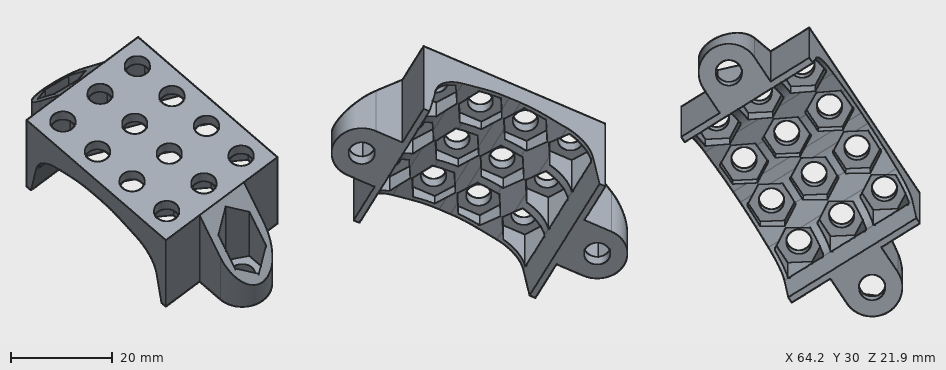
import cadquery as cq
import math

hole_pitch = 10.0
columns = 4
rows = 3
block_length = 40.35
block_depth = rows * hole_pitch
height = 21.9
bolt_hole_diameter = 5.0

nut_across_flats = 8.35
nut_circumdiameter = nut_across_flats / math.cos(math.radians(30))
nut_seat_thickness = 2.7
grid_nut_floor = 8.0

overall_length = 64.15
ear_radius = 5.95
ear_tip_height = 6.15
ear_hole_diameter = 5.2
ear_center = overall_length / 2 - ear_radius

arch_foot = 18.85
arch_shoulder = (16.55, 13.3)
arch_crown = (4.2, 16.55)
shoulder_radius = 8.0
crown_radius = 22.45


def make_block():
    return cq.Workplane("XY").box(block_length, block_depth, height, centered=(True, True, False))


def make_ears():
    """Round-ended bar spanning both ears, sloped from the block's top edges down to the ear tips."""
    bar = cq.Workplane("XY").slot2D(overall_length, 2 * ear_radius).extrude(height)
    slopes = (
        cq.Workplane("XZ")
        .polyline([
            (-overall_length / 2, 0),
            (overall_length / 2, 0),
            (overall_length / 2, ear_tip_height),
            (block_length / 2, height),
            (-block_length / 2, height),
            (-overall_length / 2, ear_tip_height),
        ])
        .close()
        .extrude(ear_radius, both=True)
    )
    return bar.intersect(slopes)


def make_arch():
    """Tunnel along Y with rounded shoulders and crown."""
    right_side = [(arch_foot, 0), arch_shoulder, arch_crown]
    left_side = [(-x, z) for x, z in reversed(right_side)]
    tunnel = cq.Workplane("XZ").polyline(right_side + left_side).close().extrude(block_depth / 2, both=True)

    for (x, z), radius in [(arch_shoulder, shoulder_radius), (arch_crown, crown_radius)]:
        for corner in [(-x, 0, z), (x, 0, z)]:
            tunnel = tunnel.edges(cq.selectors.NearestToPointSelector(corner)).fillet(radius)
    return tunnel


def make_bolt_cutters(points, hole_diameter, nut_bottom, nut_top):
    """Through holes along Z, each with a hexagonal nut trap between two heights."""
    holes = cq.Workplane("XY").pushPoints(points).circle(hole_diameter / 2).extrude(height)
    nuts = (
        cq.Workplane("XY", origin=(0, 0, nut_bottom))
        .pushPoints(points)
        .polygon(6, nut_circumdiameter)
        .extrude(nut_top - nut_bottom)
    )
    return holes.union(nuts)


grid_points = [
    ((column - (columns - 1) / 2) * hole_pitch, (row - (rows - 1) / 2) * hole_pitch)
    for column in range(columns)
    for row in range(rows)
]
ear_points = [(-ear_center, 0), (ear_center, 0)]

grid_cutters = make_bolt_cutters(
    grid_points, bolt_hole_diameter, grid_nut_floor, height - nut_seat_thickness
)
ear_cutters = make_bolt_cutters(ear_points, ear_hole_diameter, nut_seat_thickness, height)

result = make_block().union(make_ears()).cut(make_arch()).cut(grid_cutters).cut(ear_cutters)